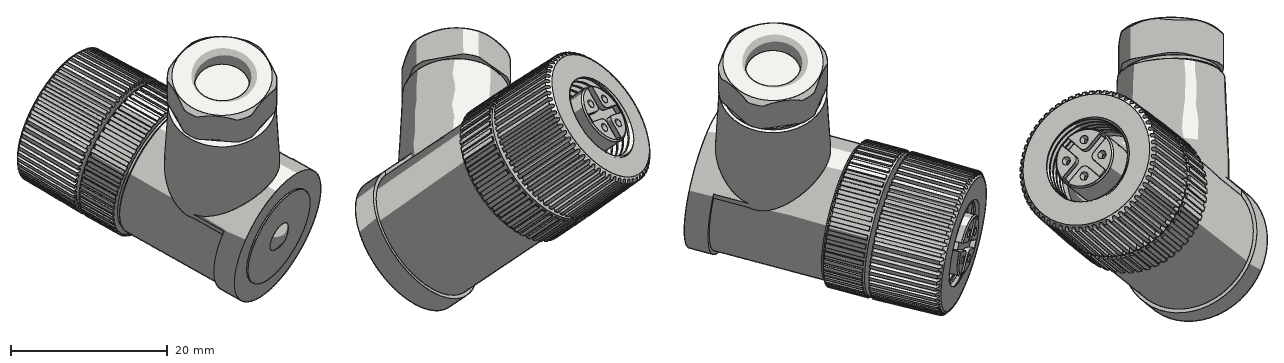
import cadquery as cq
import math


insert_radius = 4.05
insert_edge_chamfer = 0.2
shoulder_x = 5.6
shoulder_rounding = 1.0
shoulder_round_width = 0.85
contact_count = 4
contact_circle_radius = 2.5
contact_outer_diameter = 1.1
contact_hole_diameter = 0.55
contact_funnel_depth = 0.7
contact_hole_depth = 3.0
cross_half_width = 0.57
cross_reach = 3.63
cross_depth = 0.7
cross_corner_radius = 1.58 / 2
keyway_angle = 45.0
keyway_bottom_radius = 3.0
keyway_length = 4.0

nut_face_x = 0.7
nut_face_radius = 8.9
nut_chamfer_end_x = 1.2
nut_front_radius = 9.55
nut_rear_x = 10.15
nut_rear_radius = 9.75
nut_sleeve_radius = 7.5
nut_groove_count = 60
nut_groove_radius = 0.25
nut_groove_floor_radius = 9.1

cavity_radius = 11.2 / 2
cavity_depth = 6.5
nut_thread_length = 6.3
nut_thread_pitch = 1.0
nut_thread_depth = 0.45
nut_thread_flank_angle = 40.0
nut_thread_start_angle = 272.0

neck_radius = 13.0 / 2
ring_front_x = 10.8
ring_teeth_x = 11.06
ring_rear_x = 16.28
ring_radius = 19.5 / 2
ring_groove_depth = 0.25
ring_groove_count = 50
collar_radius = 8.75
collar_rear_x = 16.65

body_radius = 18.0 / 2
body_edge_chamfer = 0.15
flange_front_x = 31.93
flange_rear_x = 35.15
flange_radius = 19.0 / 2
disc_radius = 6.8
disc_rear_x = 35.38
screw_head_radius = 2.0
overall_length = 36.1

outlet_x = 26.43
outlet_radius = 14.7 / 2
outlet_top_radius = 6.88
outlet_cone_start_z = flange_radius
outlet_top_z = 20.56
saddle_half_width = 7.3

outlet_thread_pitch = 1.5
outlet_thread_radius = 6.4
outlet_thread_depth = 0.9
outlet_thread_flank_angle = 30.0
outlet_thread_root_height = 0.35

thread_overlap = 0.1

cable_nut_bottom_z = 21.33
cable_nut_top_z = 26.44
cable_nut_flats = 13.0
cable_nut_corner_diameter = 14.0
cable_nut_edge_blend = 1.1
cable_nut_face_radius = 6.4
cable_hole_radius = 7.0 / 2
cable_hole_depth = 2.0
cable_hole_rounding = 1.0


def x_cylinder(start_x, end_x, radius):
    """Cylinder on the plug axis."""
    return cq.Workplane("YZ").workplane(offset=start_x).circle(radius).extrude(end_x - start_x)


def revolve_about_x(profile):
    """Solid of revolution about X from an (x, radius) outline drawn on the XY plane."""
    return profile.close().revolve(360, (0, 0, 0), (1, 0, 0))


def polar(radius, angle):
    """Point at a radius and an angle in radians."""
    return radius * math.cos(angle), radius * math.sin(angle)


def grooved_disc_outline(workplane, outer_radius, count, groove_radius, floor_radius):
    """Circle interrupted by evenly spaced round-bottomed grooves, the first one at angle zero."""
    def groove_point(radial, across, angle):
        return (
            radial * math.cos(angle) - across * math.sin(angle),
            radial * math.sin(angle) + across * math.cos(angle),
        )

    pitch_angle = 2 * math.pi / count
    rim_radial = math.sqrt(outer_radius**2 - groove_radius**2)
    round_radial = floor_radius + groove_radius
    outline = workplane.moveTo(*groove_point(rim_radial, -groove_radius, 0))
    for index in range(count):
        angle = index * pitch_angle
        outline = (
            outline.lineTo(*groove_point(round_radial, -groove_radius, angle))
            .threePointArc(
                groove_point(floor_radius, 0, angle),
                groove_point(round_radial, groove_radius, angle),
            )
            .lineTo(*groove_point(rim_radial, groove_radius, angle))
            .threePointArc(
                polar(outer_radius, angle + pitch_angle / 2),
                groove_point(rim_radial, -groove_radius, angle + pitch_angle),
            )
        )
    return outline.close()


def thread_groove(pitch, height, base_radius, tip_radius, flank_angle):
    """Helical V groove about Z that starts at z = 0 and angle zero."""
    half_width = abs(tip_radius - base_radius) * math.tan(math.radians(flank_angle))
    helix = cq.Wire.makeHelix(pitch, height, min(base_radius, tip_radius))
    return (
        cq.Workplane("XZ")
        .polyline([(base_radius, -half_width), (tip_radius, 0), (base_radius, half_width)])
        .close()
        .sweep(cq.Workplane(obj=helix), isFrenet=True)
    )


def make_coupling_nut():
    """Knurled tapered shell joined to a threaded inner sleeve."""
    blank = revolve_about_x(
        cq.Workplane("XY")
        .moveTo(nut_face_x, 0)
        .lineTo(nut_face_x, nut_face_radius)
        .lineTo(nut_chamfer_end_x, nut_front_radius)
        .lineTo(nut_rear_x, nut_rear_radius)
        .lineTo(nut_rear_x, 0)
    )
    knurl_plane = cq.Workplane("YZ").workplane(offset=nut_face_x)
    knurl = grooved_disc_outline(
        knurl_plane,
        nut_rear_radius + nut_groove_radius,
        nut_groove_count,
        nut_groove_radius,
        nut_groove_floor_radius,
    ).extrude(nut_rear_x - nut_face_x)
    cavity = x_cylinder(nut_face_x, nut_face_x + cavity_depth, cavity_radius)
    thread = (
        thread_groove(
            nut_thread_pitch,
            nut_thread_length,
            cavity_radius - thread_overlap,
            cavity_radius + nut_thread_depth,
            nut_thread_flank_angle,
        )
        .rotate((0, 0, 0), (0, 0, 1), nut_thread_start_angle)
        .rotate((0, 0, 0), (0, 1, 0), 90)
        .translate((nut_face_x - nut_thread_pitch, 0, 0))
    )
    sleeve = x_cylinder(nut_face_x, nut_rear_x, nut_sleeve_radius)
    shell = blank.intersect(knurl).cut(sleeve)
    return shell.union(sleeve.cut(cavity).cut(thread))


def make_insert():
    """Round insert on a rounded conical shoulder, with a cross recess, a keyway and contacts."""
    round_angle = math.asin(shoulder_round_width / shoulder_rounding)
    round_end_x = shoulder_x + shoulder_rounding * (1 - math.cos(round_angle))
    round_end_radius = insert_radius + shoulder_round_width
    cone_end_x = round_end_x + (cavity_radius - round_end_radius) * math.tan(round_angle)
    insert = revolve_about_x(
        cq.Workplane("XY")
        .lineTo(0, insert_radius - insert_edge_chamfer)
        .lineTo(insert_edge_chamfer, insert_radius)
        .lineTo(shoulder_x, insert_radius)
        .radiusArc((round_end_x, round_end_radius), shoulder_rounding)
        .lineTo(cone_end_x, cavity_radius)
        .lineTo(nut_rear_x, cavity_radius)
        .lineTo(nut_rear_x, 0)
    )
    arm = cq.Workplane("YZ").rect(2 * cross_reach, 2 * cross_half_width).extrude(cross_depth)
    cross = arm.union(arm.rotate((0, 0, 0), (1, 0, 0), 90))
    inner_corners = cq.selectors.BoxSelector(
        (-cross_depth, -2 * cross_half_width, -2 * cross_half_width),
        (cross_depth, 2 * cross_half_width, 2 * cross_half_width),
    )
    cross = cross.edges("|X").edges(inner_corners).fillet(cross_corner_radius)
    keyway = (
        cq.Workplane("YZ")
        .center((keyway_bottom_radius + insert_radius) / 2 + insert_edge_chamfer / 2, 0)
        .rect(insert_radius - keyway_bottom_radius + insert_edge_chamfer, 2 * cross_half_width)
        .extrude(keyway_length)
    )
    insert = insert.cut(cross.union(keyway).rotate((0, 0, 0), (1, 0, 0), keyway_angle))

    funnel = cq.Solid.makeCone(
        contact_outer_diameter / 2,
        contact_hole_diameter / 2,
        contact_funnel_depth,
        cq.Vector(0, 0, contact_circle_radius),
        cq.Vector(1, 0, 0),
    )
    hole = cq.Solid.makeCylinder(
        contact_hole_diameter / 2,
        contact_hole_depth,
        cq.Vector(0, 0, contact_circle_radius),
        cq.Vector(1, 0, 0),
    )
    contact = cq.Workplane(obj=funnel).union(cq.Workplane(obj=hole))
    for index in range(contact_count):
        insert = insert.cut(contact.rotate((0, 0, 0), (1, 0, 0), index * 360 / contact_count))
    return insert


def make_knurled_ring():
    """Ring with square-sided grooves behind a plain front lip."""
    floor_radius = ring_radius - ring_groove_depth
    core = x_cylinder(ring_front_x, ring_rear_x, floor_radius)
    half_pitch = math.pi / ring_groove_count
    teeth = cq.Workplane("YZ").workplane(offset=ring_teeth_x)
    overlap_radius = floor_radius - ring_groove_depth
    for index in range(ring_groove_count):
        start = 2 * index * half_pitch
        middle = start + half_pitch / 2
        end = start + half_pitch
        teeth = (
            teeth.moveTo(*polar(overlap_radius, start))
            .lineTo(*polar(ring_radius, start))
            .threePointArc(polar(ring_radius, middle), polar(ring_radius, end))
            .lineTo(*polar(overlap_radius, end))
            .close()
        )
    teeth = teeth.extrude(ring_rear_x - ring_teeth_x)
    return core.union(teeth)


def make_body():
    """Neck, collar, barrel, rear flange, end disc and screw head."""
    neck = x_cylinder(nut_rear_x, ring_front_x, neck_radius)
    collar = x_cylinder(ring_rear_x, collar_rear_x, collar_radius)
    barrel = x_cylinder(collar_rear_x, flange_front_x, body_radius)
    barrel = barrel.faces("<X").chamfer(body_edge_chamfer)
    flange = x_cylinder(flange_front_x, flange_rear_x, flange_radius)
    disc = x_cylinder(flange_rear_x, disc_rear_x, disc_radius)
    dome_height = overall_length - disc_rear_x
    dome_sphere_radius = (screw_head_radius**2 + dome_height**2) / (2 * dome_height)
    screw_head = revolve_about_x(
        cq.Workplane("XY")
        .moveTo(disc_rear_x, 0)
        .lineTo(disc_rear_x, screw_head_radius)
        .radiusArc((overall_length, 0), dome_sphere_radius)
    )
    return neck.union(collar).union(barrel).union(flange).union(disc).union(screw_head)


def make_outlet():
    """Tapered outlet tower and the raised saddle that joins it to the flange."""
    base = cq.Workplane("XY").center(outlet_x, 0).circle(outlet_radius).extrude(outlet_cone_start_z)
    cone = cq.Workplane(
        obj=cq.Solid.makeCone(
            outlet_radius,
            outlet_top_radius,
            outlet_top_z - outlet_cone_start_z,
            cq.Vector(outlet_x, 0, outlet_cone_start_z),
        )
    )
    upper_block = (
        cq.Workplane("XY")
        .center((outlet_x + flange_front_x) / 2, 0)
        .rect(flange_front_x - outlet_x, 2 * saddle_half_width)
        .extrude(flange_radius)
    )
    saddle = x_cylinder(outlet_x, flange_front_x, flange_radius).intersect(upper_block)
    return base.union(cone).union(saddle)


def make_outlet_thread():
    """Short stretch of male thread showing between the outlet and the cable nut."""
    height = cable_nut_bottom_z - outlet_top_z
    core = cq.Workplane("XY").circle(outlet_thread_radius).extrude(height)
    turns = 3
    groove = thread_groove(
        outlet_thread_pitch,
        turns * outlet_thread_pitch,
        outlet_thread_radius + thread_overlap,
        outlet_thread_radius - outlet_thread_depth,
        outlet_thread_flank_angle,
    ).translate((0, 0, outlet_thread_root_height - outlet_thread_pitch))
    return core.cut(groove).translate((outlet_x, 0, outlet_top_z))


def make_cable_nut():
    """Hexagon with rounded-off corners, a conical top edge and a rounded cable hole."""
    height = cable_nut_top_z - cable_nut_bottom_z
    corner_radius = cable_nut_corner_diameter / 2
    hexagon = (
        cq.Workplane("XY")
        .polygon(6, cable_nut_flats, circumscribed=True)
        .extrude(height)
    )
    rounded = cq.Workplane("XY").circle(corner_radius).extrude(height)
    nut = hexagon.intersect(rounded).edges("|Z").fillet(cable_nut_edge_blend)
    top_edge_limit = (
        cq.Workplane("XY")
        .circle(corner_radius)
        .extrude(height)
        .faces(">Z")
        .chamfer(corner_radius - cable_nut_face_radius)
    )
    nut = nut.intersect(top_edge_limit)
    hole = cq.Workplane("XY").workplane(offset=height - cable_hole_depth)
    nut = nut.cut(hole.circle(cable_hole_radius).extrude(cable_hole_depth))
    hole_rim = cq.selectors.RadiusNthSelector(0)
    nut = nut.faces(">Z").edges(hole_rim).fillet(cable_hole_rounding)
    return nut.translate((outlet_x, 0, cable_nut_bottom_z))


result = (
    make_body()
    .union(make_outlet())
    .union(make_knurled_ring())
    .union(make_coupling_nut())
    .union(make_insert())
    .union(make_outlet_thread())
    .union(make_cable_nut())
)